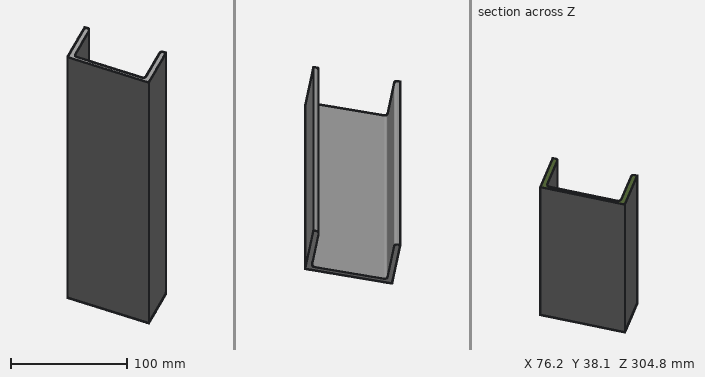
import cadquery as cq

width = 76.2
depth = 38.1
length = 304.8

web_thickness = 3.302
flange_thickness = 5.08
root_radius = 2.54
toe_radius = flange_thickness / 2

inner_width = width - 2 * flange_thickness
inner_depth = depth - web_thickness


def solid_bar():
    """Rectangular bar filling the outer envelope, outer web face on Y = 0."""
    return cq.Workplane("XY").rect(width, depth).extrude(length).translate((0, depth / 2, 0))


def inner_space():
    """Space between the flanges, with rounded corners where they meet the web."""
    return (
        cq.Workplane("XY")
        .rect(inner_width, inner_depth)
        .extrude(length)
        .translate((0, web_thickness + inner_depth / 2, 0))
        .edges("|Z and <Y")
        .fillet(root_radius)
    )


def round_toes(channel):
    """Round the inner edge at the free end of each flange."""
    for side in (-1, 1):
        toe_middle = (side * inner_width / 2, depth, length / 2)
        toe_edge = cq.selectors.NearestToPointSelector(toe_middle)
        channel = channel.edges("|Z").edges(toe_edge).fillet(toe_radius)
    return channel


result = round_toes(solid_bar().cut(inner_space()))